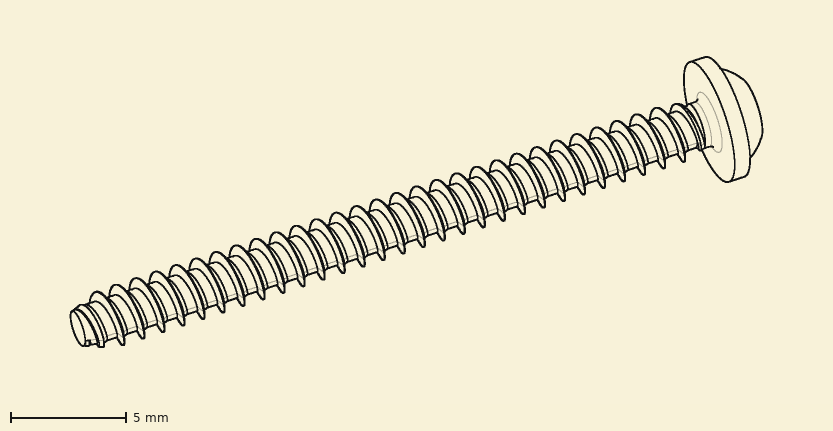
import cadquery as cq
import math

total_length = 31.9
head_height = 1.9
shank_length = total_length - head_height

flange_radius = 2.75
flange_height = 0.73
dome_base_radius = 2.25
dome_top_radius = 1.4
dome_height = head_height - flange_height

neck_radius = 1.02
neck_fillet = 0.35
neck_length = 0.65
neck_taper_length = 0.32
core_radius = 0.9
tip_radius = 0.8
tip_taper_length = 0.65

crest_radius = 1.3
crest_width = 0.03
shoulder_radius = 0.95
head_side_shoulder = 0.13
head_side_root = 0.6
tip_side_root = 0.2
root_radius = 0.8
turns = 32
helix_length = 30.43
pitch = helix_length / turns
helix_start = -0.15


trimmed_turns = 4
envelope_radius = 1.45
run_in_start = 0.6
run_in_end = 1.98
run_out_start = 28.33
run_out_end = 29.95


def dome_sphere_radius_at(height):
    """Radius of the dome's sphere at a height above the flange, the sphere being centred on the axis."""
    centre = (dome_top_radius**2 + dome_height**2 - dome_base_radius**2) / (2 * dome_height)
    return math.sqrt(dome_base_radius**2 + centre**2 - (height - centre) ** 2)


def make_body():
    """Head, neck and core turned about Z: the flange seats at z = 0 and the tip points to +Z."""
    fillet_corner = neck_radius + neck_fillet
    fillet_offset = neck_fillet * (1 - math.sqrt(0.5))
    dome_middle = dome_height / 2
    profile = (
        cq.Workplane("XZ")
        .moveTo(0, -head_height)
        .lineTo(dome_top_radius, -head_height)
        .threePointArc(
            (dome_sphere_radius_at(dome_middle), -flange_height - dome_middle),
            (dome_base_radius, -flange_height),
        )
        .lineTo(flange_radius, -flange_height)
        .lineTo(flange_radius, 0)
        .lineTo(fillet_corner, 0)
        .threePointArc(
            (neck_radius + fillet_offset, fillet_offset),
            (neck_radius, neck_fillet),
        )
        .lineTo(neck_radius, neck_length)
        .lineTo(core_radius, neck_length + neck_taper_length)
        .lineTo(core_radius, shank_length - tip_taper_length)
        .lineTo(tip_radius, shank_length)
        .lineTo(0, shank_length)
        .close()
    )
    return profile.revolve(360, (0, 0, 0), (0, 1, 0))


def make_turn():
    """One full-height turn of the ridge, capped at both ends.

    The flank towards the tip is straight; the one towards the head flares out below its shoulder.
    """
    corners = [
        (root_radius, -head_side_root),
        (shoulder_radius, -head_side_shoulder),
        (crest_radius, -crest_width / 2),
        (crest_radius, crest_width / 2),
        (root_radius, tip_side_root),
    ]
    edges = []
    for radius, offset in corners:
        helix = cq.Wire.makeHelix(pitch, pitch, radius)
        edges.append(helix.translate(cq.Vector(0, 0, helix_start + offset)))

    faces = []
    for edge, next_edge in zip(edges, edges[1:] + edges[:1]):
        faces += cq.Face.makeRuledSurface(edge, next_edge).Faces()
    for end_height in (helix_start, helix_start + pitch):
        points = [cq.Vector(radius, 0, end_height + offset) for radius, offset in corners]
        faces.append(cq.Face.makeFromWires(cq.Wire.makePolygon(points, close=True)))
    return cq.Workplane(cq.Solid.makeSolid(cq.Shell.makeShell(faces)))


def make_envelope():
    """Turned blank whose cones fade the ridge in below the neck and out at the tip."""
    return (
        cq.Workplane("XZ")
        .moveTo(0, run_in_start)
        .lineTo(neck_radius, run_in_start)
        .lineTo(envelope_radius, run_in_end)
        .lineTo(envelope_radius, run_out_start)
        .lineTo(tip_radius, run_out_end)
        .lineTo(0, run_out_end)
        .close()
        .revolve(360, (0, 0, 0), (0, 1, 0))
    )


def make_thread():
    """Right-handed thread: stacked turns, with those at both ends trimmed by the envelope."""
    turn = make_turn()
    envelope = make_envelope()
    thread = []
    for i in range(turns):
        ridge = turn.translate((0, 0, i * pitch))
        if i < trimmed_turns or i >= turns - trimmed_turns:
            ridge = ridge.intersect(envelope)
        thread.append(ridge.val())
    return cq.Workplane().newObject(thread)


screw = make_body().union(make_thread())
result = screw.solids().rotate((0, 0, 0), (1, 0, 0), 90)